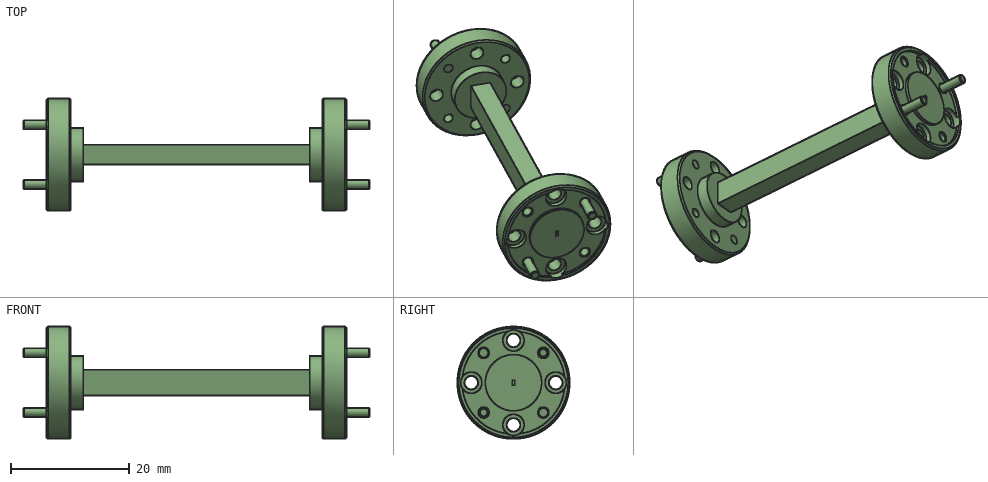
import cadquery as cq
import math

face_to_face = 50.8

flange_diameter = 19.05
flange_thickness = 4.16
flange_chamfer = 0.28

pad_diameter = 9.525
rim_inner_diameter = 17.4
recess_depth = 0.5

hub_diameter = 9.1
hub_length = 2.09
tube_width = 3.4
tube_height = 4.4

opening_width = 0.432
opening_height = 0.864
opening_depth = 1.0

bolt_circle_radius = 14.2875 / 2
hole_count = 4
hole_step = 360 / hole_count
screw_hole_diameter = 2.26
counterbore_diameter = 3.6
counterbore_depth = 1.4
dowel_diameter = 1.56
dowel_hole_chamfer = 0.15

pin_projection = 3.875
pin_chamfer = 0.15
pin_length = flange_thickness + pin_projection

face_x = face_to_face / 2
back_x = face_x - flange_thickness
hub_end_x = back_x - hub_length


def circle_point(angle):
    """Point (Y, Z) on the bolt circle, with the angle measured from +Y towards +Z."""
    radians = math.radians(angle)
    return (bolt_circle_radius * math.cos(radians), bolt_circle_radius * math.sin(radians))


def plane_at(x):
    return cq.Workplane("YZ", origin=(x, 0, 0))


screw_points = [circle_point(i * hole_step) for i in range(hole_count)]
dowel_points = [circle_point((i + 0.5) * hole_step) for i in range(hole_count)]
pin_points = dowel_points[::2]


def make_flange():
    """Flange at the +X end, with its hub on the -X side."""
    flange = plane_at(back_x).circle(flange_diameter / 2).extrude(flange_thickness)
    flange = flange.edges().chamfer(flange_chamfer)
    hub = plane_at(hub_end_x).circle(hub_diameter / 2).extrude(hub_length)
    flange = flange.union(hub)

    recess = plane_at(face_x).circle(rim_inner_diameter / 2).circle(pad_diameter / 2).extrude(-recess_depth)
    screw_holes = plane_at(face_x).pushPoints(screw_points).circle(screw_hole_diameter / 2)
    screw_holes = screw_holes.extrude(-flange_thickness)
    counterbores = plane_at(face_x).pushPoints(screw_points).circle(counterbore_diameter / 2)
    counterbores = counterbores.extrude(-counterbore_depth)
    dowel_holes = plane_at(face_x).pushPoints(dowel_points).circle(dowel_diameter / 2)
    dowel_holes = dowel_holes.extrude(-flange_thickness)
    countersinks = plane_at(face_x - recess_depth).pushPoints(dowel_points)
    countersinks = countersinks.circle(dowel_diameter / 2 + dowel_hole_chamfer)
    countersinks = countersinks.extrude(-dowel_hole_chamfer, taper=45)
    opening = plane_at(face_x).rect(opening_width, opening_height).extrude(-opening_depth)
    for cutter in (recess, screw_holes, counterbores, dowel_holes, countersinks, opening):
        flange = flange.cut(cutter)
    return flange


def turn_to_other_end(body):
    """Turn a body half a turn about Z, from the +X end to the -X end."""
    return body.rotate((0, 0, 0), (0, 0, 1), 180)


def make_pin(point):
    """Dowel pin at the +X end, flush with the back of its flange."""
    pin = plane_at(back_x).center(*point).circle(dowel_diameter / 2).extrude(pin_length)
    return pin.faces(">X").chamfer(pin_chamfer)


flange = make_flange()
tube = plane_at(-hub_end_x).rect(tube_width, tube_height).extrude(2 * hub_end_x)
waveguide = tube.union(flange).union(turn_to_other_end(flange))

pins = []
for point in pin_points:
    pin = make_pin(point)
    pins.append(pin.val())
    pins.append(turn_to_other_end(pin).val())

result = cq.Compound.makeCompound([waveguide.val(), *pins])